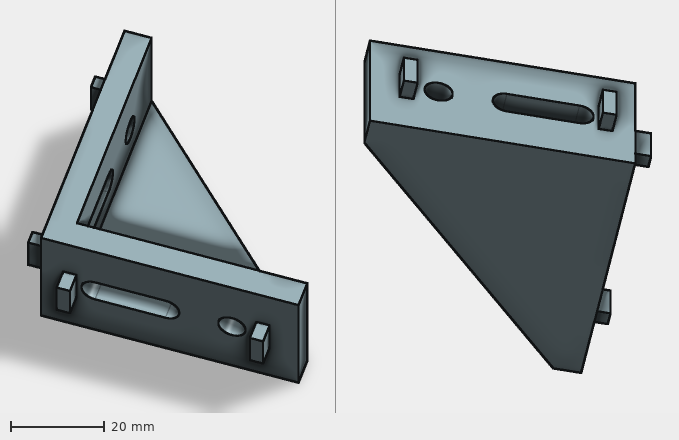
import cadquery as cq

overall_length = 62.5
height = 28.0
tab_projection = 4.5
leg_length = overall_length - tab_projection
wall = 6.1
web_thickness = 5.25

tab_width = 3.0
tab_height = 8.0
tab_positions = (6.5, 50.0)
slot_position = 20.1
slot_length = 22.0
hole_position = 43.0
hole_diameter = 6.1
mid_height = height / 2


def make_leg():
    """Leg along +X with its outer face on Y = 0, pierced and carrying two locating tabs."""
    leg = cq.Workplane("XY").box(leg_length, wall, height, centered=False)
    openings = (
        cq.Workplane("XZ")
        .center(slot_position, mid_height)
        .slot2D(slot_length, hole_diameter)
        .extrude(-wall)
    )
    openings = openings.union(
        cq.Workplane("XZ")
        .center(hole_position, mid_height)
        .circle(hole_diameter / 2)
        .extrude(-wall)
    )
    leg = leg.cut(openings)
    tabs = (
        cq.Workplane("XZ")
        .pushPoints([(position, mid_height) for position in tab_positions])
        .rect(tab_width, tab_height)
        .extrude(tab_projection)
    )
    return leg.union(tabs)


def make_web():
    """Triangular web at the bottom, joining the inner faces of the two legs."""
    return (
        cq.Workplane("XY")
        .polyline([(wall, wall), (leg_length, wall), (wall, leg_length)])
        .close()
        .extrude(web_thickness)
    )


x_leg = make_leg()
y_leg = x_leg.rotate((0, 0, 0), (0, 0, 1), 90).mirror("YZ")
result = x_leg.union(y_leg).union(make_web())